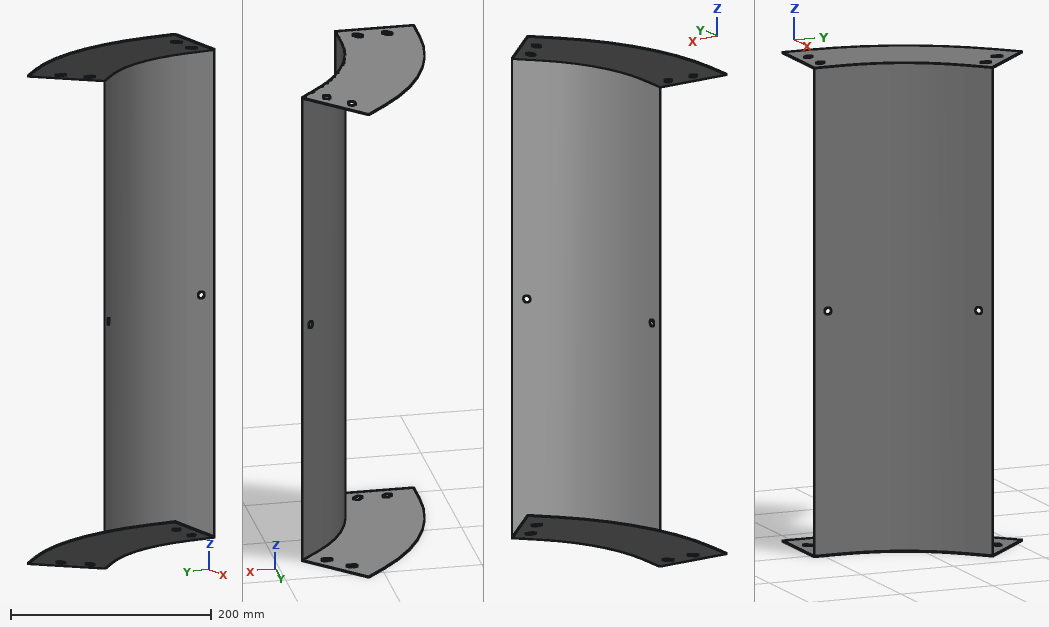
import cadquery as cq
import math

height = 500.0
flange_width = 80.0
sheet = 1.0
inner_radius = 160.0
straight = 30.0
bend_angle = 45.0

hole_diameter = 7.0
slot_length = 11.0
slot_tilt = 45.0
hole_end_distance = 15.0
slot_offsets = (30.0, 60.0)

outer_radius = inner_radius + flange_width
web_radius = inner_radius + sheet


def bend_point(radius, angle, run=0.0):
    """Point on the bend at an angle, moved forward by run along the tangent."""
    a = math.radians(angle)
    x = outer_radius - radius * math.cos(a) + run * math.sin(a)
    y = straight + radius * math.sin(a) + run * math.cos(a)
    return (x, y)


def curved_strip(outer, inner, depth):
    """Strip between two concentric radii, with a straight run at both ends."""
    return (
        cq.Workplane("XY")
        .moveTo(*bend_point(outer, 0, -straight))
        .lineTo(*bend_point(outer, 0))
        .threePointArc(bend_point(outer, bend_angle / 2), bend_point(outer, bend_angle))
        .lineTo(*bend_point(outer, bend_angle, straight))
        .lineTo(*bend_point(inner, bend_angle, straight))
        .lineTo(*bend_point(inner, bend_angle))
        .threePointArc(bend_point(inner, bend_angle / 2), bend_point(inner, 0))
        .lineTo(*bend_point(inner, 0, -straight))
        .close()
        .extrude(depth)
    )


def web_hole(angle, run):
    """Cutter through the web at mid height, square to the web surface."""
    x, y = bend_point(inner_radius, angle, run)
    a = math.radians(angle)
    outward = cq.Vector(-math.cos(a), math.sin(a), 0)
    centre = cq.Vector(x, y, height / 2)
    cutter_length = 4 * sheet
    start = centre - outward * (cutter_length / 2)
    return cq.Solid.makeCylinder(hole_diameter / 2, cutter_length, start, outward)


def flange_slots(angle, run, tilt):
    """Cutters for the two slots at one end of a flange, tilted from the end edge."""
    centres = [bend_point(outer_radius - offset, angle, run) for offset in slot_offsets]
    return (
        cq.Workplane("XY")
        .pushPoints(centres)
        .slot2D(slot_length, hole_diameter, tilt - angle)
        .extrude(sheet)
    )


flange = curved_strip(outer_radius, inner_radius, sheet)
web = curved_strip(web_radius, inner_radius, height)
result = web.union(flange).union(flange.translate((0, 0, height - sheet)))

hole_run = straight - hole_end_distance
for angle, run in ((0, -hole_run), (bend_angle, hole_run)):
    top_slots = flange_slots(angle, run, -slot_tilt)
    bottom_slots = flange_slots(angle, run, slot_tilt)
    result = result.cut(top_slots.translate((0, 0, height - sheet)))
    result = result.cut(bottom_slots)
    result = result.cut(cq.Workplane(web_hole(angle, run)))